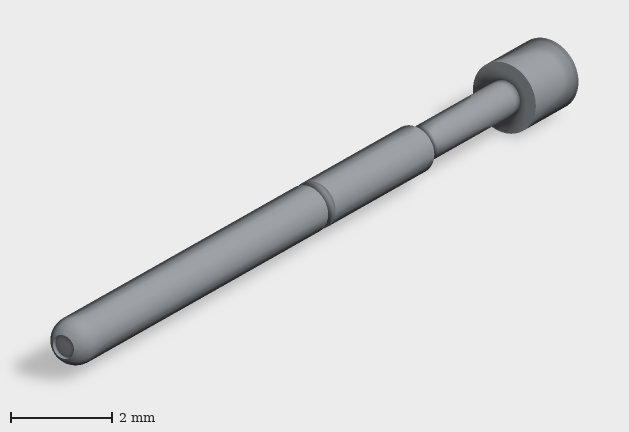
import cadquery as cq
import math

total_length = 17.0

head_diameter = 1.5
head_length = 1.5
stem_diameter = 0.75
stem_length = 3.2

barrel_diameter = 1.0
tip_recess_diameter = 0.5
tip_recess_depth = 0.1

groove_end_y = 8.83
groove_width = 0.26
groove_depth = 0.1

head_radius = head_diameter / 2
stem_radius = stem_diameter / 2
barrel_radius = barrel_diameter / 2
tip_recess_radius = tip_recess_diameter / 2
tip_length = math.sqrt(barrel_radius**2 - tip_recess_radius**2)
head_start_y = total_length - head_length
barrel_end_y = head_start_y - stem_length
groove_start_y = groove_end_y - groove_width
groove_root_y = groove_end_y - groove_width / 2
groove_root_radius = barrel_radius - groove_depth


def revolve_about_y(half_profile):
    """Turn a closed profile in the XY plane once around the Y axis."""
    return half_profile.revolve(360, (0, 0, 0), (0, 1, 0))


def make_barrel():
    """Cylinder with a truncated hemispherical tip and a round recess as wide as the truncation."""
    mid_angle = math.asin(tip_length / barrel_radius) / 2
    arc_middle = (
        barrel_radius * math.cos(mid_angle),
        tip_length - barrel_radius * math.sin(mid_angle),
    )
    half_profile = (
        cq.Workplane("XY")
        .moveTo(0, tip_recess_depth)
        .lineTo(tip_recess_radius, tip_recess_depth)
        .lineTo(tip_recess_radius, 0)
        .threePointArc(arc_middle, (barrel_radius, tip_length))
        .lineTo(barrel_radius, barrel_end_y)
        .lineTo(0, barrel_end_y)
        .close()
    )
    return revolve_about_y(half_profile)


def make_groove_cutter():
    """Ring of circular-arc section that cuts the crimp groove into the barrel."""
    half_profile = (
        cq.Workplane("XY")
        .moveTo(barrel_radius, groove_start_y)
        .threePointArc((groove_root_radius, groove_root_y), (barrel_radius, groove_end_y))
        .close()
    )
    return revolve_about_y(half_profile)


def make_plunger():
    """Stem rising from the end of the barrel, with the head on top."""
    half_profile = (
        cq.Workplane("XY")
        .moveTo(0, barrel_end_y)
        .lineTo(stem_radius, barrel_end_y)
        .lineTo(stem_radius, head_start_y)
        .lineTo(head_radius, head_start_y)
        .lineTo(head_radius, total_length)
        .lineTo(0, total_length)
        .close()
    )
    return revolve_about_y(half_profile)


result = make_barrel().cut(make_groove_cutter()).union(make_plunger())